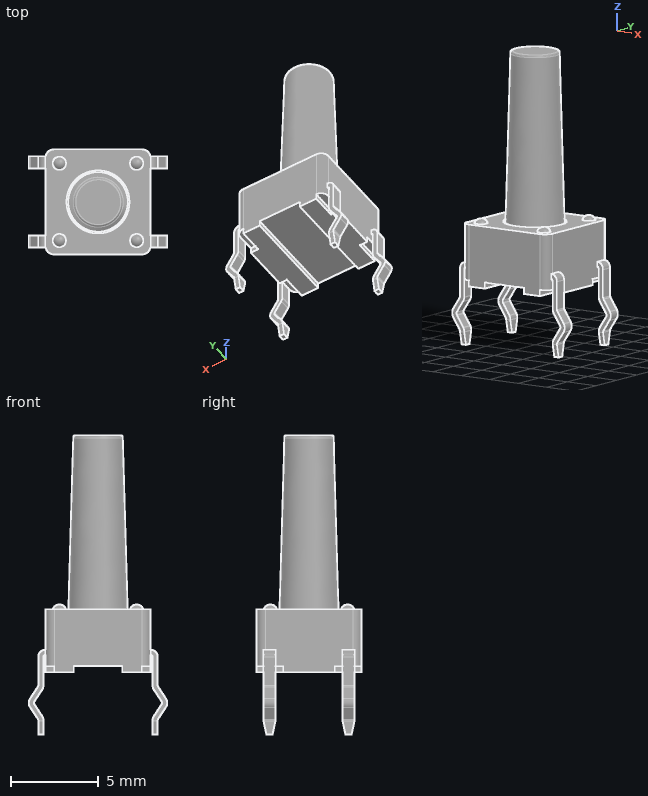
import cadquery as cq
import math

overall_height = 17.05
overall_length = 7.9

housing_side = 6.0
housing_height = 3.6
corner_radius = 1.0 / 2
foot_height = 0.35
foot_channel_width = 2.75
corner_notch_x = corner_radius
foot_face_width = 2.95
bore_diameter = 3.6
bore_depth = 1.0

dome_sphere_diameter = 0.8
dome_height = 0.27
dome_offset = 2.2

plunger_base_diameter = 3.4
plunger_top_diameter = 2.83
plunger_edge_radius = 0.14

leg_thickness = 0.3
leg_width = 0.7
leg_spacing = 4.5
leg_top_z = 1.3
leg_tip_z = -3.55
shoulder_radius = 0.8 / 2
kink_z = -1.74
kink_angle = math.radians(33.5)
kink_inner_radius = 0.15
kink_outer_radius = kink_inner_radius + leg_thickness
tip_width = 0.35
tip_length = 0.78

half_side = housing_side / 2
plunger_top_z = overall_height + leg_tip_z
bore_floor_z = housing_height - bore_depth
leg_outer_x = half_side + shoulder_radius
leg_inner_x = leg_outer_x - leg_thickness
leg_root_x = half_side - corner_radius


def make_foot_layer_cuts():
    """Channel and corner notches removed from the bottom of the housing."""
    channel = cq.Workplane("XY").box(
        foot_channel_width, housing_side, foot_height, centered=(True, True, False)
    )
    notch_y = (housing_side - foot_face_width) / 2
    notch_centre_x = half_side - corner_notch_x / 2
    notch_centre_y = half_side - notch_y / 2
    notches = (
        cq.Workplane("XY")
        .rect(2 * notch_centre_x, 2 * notch_centre_y, forConstruction=True)
        .vertices()
        .rect(corner_notch_x, notch_y)
        .extrude(foot_height)
    )
    return channel.union(notches)


def make_domes():
    """Four spherical caps near the corners of the housing top."""
    sphere_radius = dome_sphere_diameter / 2
    centre_z = housing_height + dome_height - sphere_radius
    return (
        cq.Workplane("XY", origin=(0, 0, centre_z))
        .rect(2 * dome_offset, 2 * dome_offset, forConstruction=True)
        .vertices()
        .sphere(sphere_radius)
    )


def make_leg():
    """Bent strip leg at +X, +Y, rooted inside the housing wall."""
    outer_apex_x = overall_length / 2 + kink_outer_radius * (1 / math.cos(kink_angle) - 1)
    inner_apex_x = outer_apex_x - leg_thickness / math.cos(kink_angle)
    outer_knee_dz = (outer_apex_x - leg_outer_x) / math.tan(kink_angle)
    inner_knee_dz = (inner_apex_x - leg_inner_x) / math.tan(kink_angle)
    leg_y = leg_spacing / 2

    outer_shoulder = (leg_outer_x, leg_top_z)
    inner_shoulder = (leg_inner_x, leg_top_z - leg_thickness)
    outer_knees = [(leg_outer_x, kink_z + side * outer_knee_dz) for side in (1, -1)]
    inner_knees = [(leg_inner_x, kink_z + side * inner_knee_dz) for side in (1, -1)]
    outer_apex = (outer_apex_x, kink_z)
    inner_apex = (inner_apex_x, kink_z)

    leg = (
        cq.Workplane("XZ", origin=(0, leg_y + leg_width / 2, 0))
        .polyline([
            (leg_root_x, leg_top_z),
            outer_shoulder,
            outer_knees[0],
            outer_apex,
            outer_knees[1],
            (leg_outer_x, leg_tip_z),
            (leg_inner_x, leg_tip_z),
            inner_knees[1],
            inner_apex,
            inner_knees[0],
            inner_shoulder,
            (leg_root_x, leg_top_z - leg_thickness),
        ])
        .close()
        .extrude(leg_width)
    )

    bends = [
        (shoulder_radius, [outer_shoulder]),
        (shoulder_radius - leg_thickness, [inner_shoulder]),
        (kink_outer_radius, [outer_apex, *inner_knees]),
        (kink_inner_radius, [inner_apex, *outer_knees]),
    ]
    for radius, corners in bends:
        for x, z in corners:
            leg = leg.edges(cq.NearestToPointSelector((x, leg_y, z))).fillet(radius)

    tip_outline = (
        cq.Workplane("YZ")
        .polyline([
            (leg_y - tip_width / 2, leg_tip_z),
            (leg_y + tip_width / 2, leg_tip_z),
            (leg_y + leg_width / 2, leg_tip_z + tip_length),
            (leg_y + leg_width / 2, leg_top_z),
            (leg_y - leg_width / 2, leg_top_z),
            (leg_y - leg_width / 2, leg_tip_z + tip_length),
        ])
        .close()
        .extrude(overall_length)
    )
    return leg.intersect(tip_outline)


def make_housing():
    """Square housing with feet, plunger bore, domes and four legs."""
    housing = (
        cq.Workplane("XY")
        .rect(housing_side, housing_side)
        .extrude(housing_height)
        .edges("|Z")
        .fillet(corner_radius)
        .union(make_domes())
        .cut(make_foot_layer_cuts())
    )
    bore = (
        cq.Workplane("XY", origin=(0, 0, bore_floor_z))
        .circle(bore_diameter / 2)
        .extrude(bore_depth)
    )
    housing = housing.cut(bore)

    leg = make_leg()
    for plus_y_leg in (leg, leg.mirror("YZ")):
        for corner_leg in (plus_y_leg, plus_y_leg.mirror("XZ")):
            housing = housing.union(corner_leg)
    return housing


def make_plunger():
    """Tapered round plunger standing on the floor of the bore."""
    base_radius = plunger_base_diameter / 2
    top_radius = plunger_top_diameter / 2
    return (
        cq.Workplane("XZ")
        .polyline([
            (0, bore_floor_z),
            (base_radius, bore_floor_z),
            (base_radius, housing_height),
            (top_radius, plunger_top_z),
            (0, plunger_top_z),
        ])
        .close()
        .revolve(360, (0, 0, 0), (0, 1, 0))
        .faces(">Z")
        .edges()
        .fillet(plunger_edge_radius)
    )


housing = make_housing()
plunger = make_plunger()
result = cq.Compound.makeCompound([housing.val(), plunger.val()])